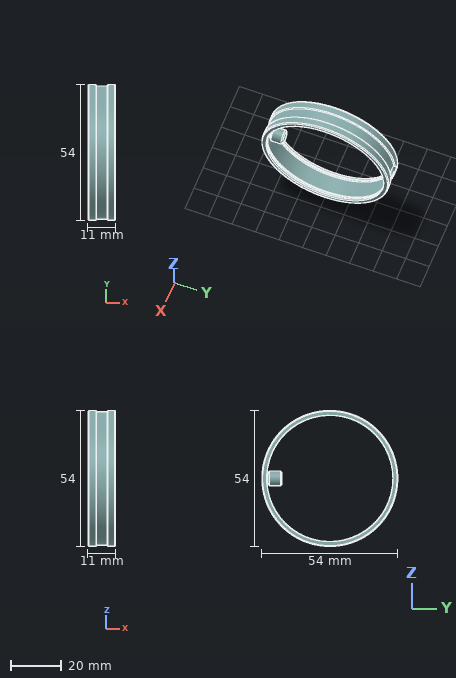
import cadquery as cq

ring_radius = 27.0
bore_radius = 25.0
ring_width = 11.0
edge_chamfer_width = 0.5
edge_chamfer_depth = 0.3

outer_groove_floor_width = 4.1
outer_groove_depth = 0.45
outer_groove_side = 0.3

bore_lip = 0.8
bore_groove_width = 1.0
bore_groove_side = 0.2
bore_groove_depth = 0.2

screw_radius = 2.95
screw_length = 5.95
screw_end_chamfer = 0.55
screw_shoulder_chamfer = 0.65
tip_radius = 1.95
tip_length = 0.5

hole_radius = 3.0


def groove_cutter(centre_x, floor_width, side_width, surface_radius, floor_radius):
    """Ring of trapezoidal section, widest at surface_radius and narrowest at floor_radius."""
    half_floor = floor_width / 2
    half_mouth = half_floor + side_width
    profile = [
        (centre_x - half_mouth, surface_radius),
        (centre_x - half_floor, floor_radius),
        (centre_x + half_floor, floor_radius),
        (centre_x + half_mouth, surface_radius),
    ]
    return cq.Workplane("XY").polyline(profile).close().revolve(360, (0, 0), (1, 0))


def make_ring():
    half_width = ring_width / 2
    shoulder_x = half_width - edge_chamfer_width
    face_radius = ring_radius - edge_chamfer_depth
    profile = [
        (-half_width, bore_radius),
        (-half_width, face_radius),
        (-shoulder_x, ring_radius),
        (shoulder_x, ring_radius),
        (half_width, face_radius),
        (half_width, bore_radius),
    ]
    ring = cq.Workplane("XY").polyline(profile).close().revolve(360, (0, 0), (1, 0))

    outer_groove_radius = ring_radius - outer_groove_depth
    ring = ring.cut(
        groove_cutter(0, outer_groove_floor_width, outer_groove_side, ring_radius, outer_groove_radius)
    )

    bore_groove_x = half_width - bore_lip - bore_groove_width / 2
    bore_groove_floor = bore_groove_width - 2 * bore_groove_side
    for side in (-1, 1):
        ring = ring.cut(
            groove_cutter(
                side * bore_groove_x,
                bore_groove_floor,
                bore_groove_side,
                bore_radius,
                bore_radius + bore_groove_depth,
            )
        )

    hole = cq.Workplane("XZ").circle(hole_radius).extrude(-ring_radius)
    return ring.cut(hole)


def make_set_screw():
    tip_y = -bore_radius
    shoulder_y = tip_y + tip_length
    end_y = tip_y + screw_length
    profile = [
        (0, tip_y),
        (tip_radius, tip_y),
        (tip_radius, shoulder_y),
        (screw_radius - screw_shoulder_chamfer, shoulder_y),
        (screw_radius, shoulder_y + screw_shoulder_chamfer),
        (screw_radius, end_y - screw_end_chamfer),
        (screw_radius - screw_end_chamfer, end_y),
        (0, end_y),
    ]
    return cq.Workplane("XY").polyline(profile).close().revolve(360, (0, 0), (0, 1))


ring = make_ring()
set_screw = make_set_screw()

result = cq.Compound.makeCompound([ring.val(), set_screw.val()])